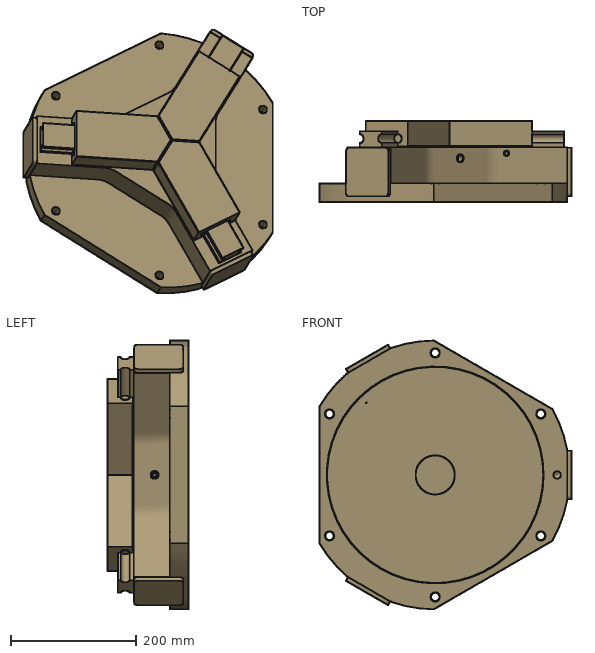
import cadquery as cq
import math

arm_angles = [0, 120, 240]
valley_angles = [60, 180, 300]
sector = math.radians(60)

flange_radius = 215.0
flange_thickness = 30.0
flange_valley_flat = 185.0
arm_reach = 211.0

housing_top = 88.0
arm_half_width = 40.0
valley_flat = 80.0
valley_fillet = 35.0

bolt_circle_radius = 195.0
bolt_count = 6
first_bolt_angle = 30
bolt_hole_diameter = 13.0
bolt_hole_chamfer = 1.0
locating_hole_diameter = 12.0
locating_hole_depth = 15.0
drill_tip_angle = 118.0

bore_diameter = 62.0
bore_depth = 6.0
bore_chamfer = 0.5
groove_radius = 173.0
groove_width = 1.0
groove_depth = 1.0

cover_thickness = 7.0
cover_size = 78.0
cover_bottom = 9.0
cover_corner_radius = 6.0

port_diameter = 11.0
port_depth = 15.0
port_chamfer = 1.0
port_pilot_diameter = 6.5
port_pilot_depth = 20.0
upper_port_height = 70.0
side_port_height = 54.5

oil_port_diameter = 6.5
oil_port_depth = 8.0
oil_port_chamfer = 1.25
oil_port_reach = 114.0
oil_port_height = 78.0

jaw_bottom = 89.0
jaw_top = 130.0
jaw_half_width = 39.0
jaw_reach = 155.0
jaw_gap = 1.0
jaw_chamfer = 1.0

rail_top = 113.5
rail_half_width = 20.5
rail_reach = 206.0
rail_chamfer = 1.0
rail_groove_diameter = 14.0
rail_groove_height = 101.5
groove_run_out = 1.0


def turn(shape, angle):
    """Turn a shape about the chuck axis, from +X toward +Z."""
    return shape.rotate((0, 0, 0), (0, 1, 0), -angle)


def plate(sketch, bottom, top):
    """Extrude a profile drawn in the XZ plane from one height to another."""
    return sketch(cq.Workplane("XZ", origin=(0, top, 0))).extrude(top - bottom)


def block(x_min, x_max, half_width, bottom, top):
    """Box centered on the XY plane."""
    box = cq.Workplane("XY").box(x_max - x_min, top - bottom, 2 * half_width, centered=(False, False, True))
    return box.translate((x_min, bottom, 0))


def axial_cutter(profile):
    """Round cutter parallel to Y, from a half profile of (radius, height) points."""
    return cq.Workplane("XY").polyline(profile).close().revolve(360, (0, 0, 0), (0, 1, 0))


def tip_length(radius):
    """Length of the cone that a drill of the given radius leaves."""
    return radius / math.tan(math.radians(drill_tip_angle / 2))


def hole_profile(radius, depth, chamfer):
    """Half profile of a flat-bottomed hole with a chamfered mouth at height zero."""
    return [(0, 0), (radius + chamfer, 0), (radius, chamfer), (radius, depth), (0, depth)]


def face_inward(cutter):
    """Lay a cutter down so that it enters the plane x = 0 and runs toward -X."""
    return cutter.rotate((0, 0, 0), (0, 0, 1), 90)


def make_flange():
    flange = plate(lambda w: w.circle(flange_radius), 0, flange_thickness)
    for angles, reach in ((arm_angles, arm_reach), (valley_angles, flange_valley_flat)):
        for angle in angles:
            trim = block(reach, 2 * flange_radius, flange_radius, 0, flange_thickness)
            flange = flange.cut(turn(trim, angle))
    return flange


def make_arms():
    root = (valley_flat - arm_half_width * math.sin(sector)) / math.cos(sector)
    core_half_width = root * math.sin(sector) - arm_half_width * math.cos(sector)
    arms = None
    for angle in arm_angles:
        arm = turn(block(0, arm_reach, arm_half_width, flange_thickness, housing_top), angle)
        arms = arm if arms is None else arms.union(arm)
    for angle in valley_angles:
        core = turn(block(0, valley_flat, core_half_width, flange_thickness, housing_top), angle)
        arms = arms.union(core)
    arms = arms.clean()
    for angle in valley_angles:
        for side in (-1, 1):
            corner_angle = math.radians(angle) + side * math.atan2(core_half_width, valley_flat)
            corner_radius = math.hypot(valley_flat, core_half_width)
            corner = (
                corner_radius * math.cos(corner_angle),
                (flange_thickness + housing_top) / 2,
                corner_radius * math.sin(corner_angle),
            )
            arms = arms.edges(cq.selectors.NearestToPointSelector(corner)).fillet(valley_fillet)
    return arms


def make_cover():
    cover_end = arm_reach + cover_thickness
    cover = block(arm_reach, cover_end, cover_size / 2, cover_bottom, cover_bottom + cover_size)
    return cover.edges("|X").fillet(cover_corner_radius)


def cut_mounting_face(body):
    bolt_hole = axial_cutter(hole_profile(bolt_hole_diameter / 2, flange_thickness, bolt_hole_chamfer))
    for step in range(bolt_count):
        angle = first_bolt_angle + step * 360 / bolt_count
        body = body.cut(turn(bolt_hole.translate((bolt_circle_radius, 0, 0)), angle))

    locating_radius = locating_hole_diameter / 2
    locating_profile = [
        (0, 0),
        (locating_radius, 0),
        (locating_radius, locating_hole_depth),
        (0, locating_hole_depth + tip_length(locating_radius)),
    ]
    locating_hole = axial_cutter(locating_profile)
    body = body.cut(locating_hole.translate((bolt_circle_radius, 0, 0)))

    bore = axial_cutter(hole_profile(bore_diameter / 2, bore_depth, bore_chamfer))
    groove = plate(
        lambda w: w.circle(groove_radius + groove_width / 2).circle(groove_radius - groove_width / 2),
        0,
        groove_depth,
    )
    return body.cut(bore).cut(groove)


def cut_ports(body):
    pilot_radius = port_pilot_diameter / 2
    port_profile = hole_profile(port_diameter / 2, port_depth, port_chamfer)[:-1] + [
        (pilot_radius, port_depth),
        (pilot_radius, port_pilot_depth),
        (0, port_pilot_depth + tip_length(pilot_radius)),
    ]
    port = face_inward(axial_cutter(port_profile))
    body = body.cut(turn(port.translate((valley_flat, upper_port_height, 0)), valley_angles[0]))
    body = body.cut(turn(port.translate((valley_flat, side_port_height, 0)), valley_angles[1]))

    oil_port = face_inward(
        axial_cutter(hole_profile(oil_port_diameter / 2, oil_port_depth, oil_port_chamfer))
    )
    oil_port = turn(oil_port, 90).translate((oil_port_reach, oil_port_height, arm_half_width))
    return body.cut(oil_port)


def make_body():
    body = make_flange().union(make_arms())
    for angle in arm_angles:
        body = body.union(turn(make_cover(), angle))
    return cut_ports(cut_mounting_face(body))


def make_jaw():
    tip_x = jaw_gap / 2 / math.sin(sector)
    shoulder_x = tip_x + jaw_half_width / math.tan(sector)
    outline = [
        (tip_x, 0),
        (shoulder_x, jaw_half_width),
        (jaw_reach, jaw_half_width),
        (jaw_reach, -jaw_half_width),
        (shoulder_x, -jaw_half_width),
    ]
    jaw = plate(lambda w: w.polyline(outline).close(), jaw_bottom, jaw_top)
    jaw = jaw.faces("<Y or >Y").edges("not >X").chamfer(jaw_chamfer)

    rail = block(shoulder_x, rail_reach, rail_half_width, housing_top, rail_top)
    rail = rail.faces(">Y").edges("|X").chamfer(rail_chamfer)
    jaw = jaw.union(rail)

    groove_start = jaw_reach - groove_run_out
    for side in (-1, 1):
        groove = (
            cq.Workplane("YZ", origin=(groove_start, rail_groove_height, side * rail_half_width))
            .circle(rail_groove_diameter / 2)
            .extrude(rail_reach - groove_start)
        )
        jaw = jaw.cut(groove)
    return jaw


body = make_body()
jaw = make_jaw()
jaws = [turn(jaw, angle) for angle in arm_angles]

result = cq.Compound.makeCompound([body.val(), *[j.val() for j in jaws]])